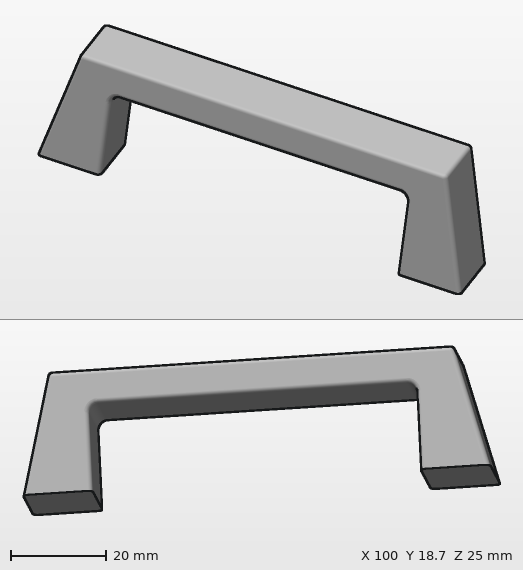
import cadquery as cq
import math

LENGTH = 100.0
HEIGHT = 25.0
DEPTH = 12.3
SLOPE_ANGLE = 15.0
OPENING_WIDTH = 70.2
OPENING_HEIGHT = 18.0
OPENING_RADIUS = 2.0
EDGE_RADIUS = 1.0

SLOPE_RUN = HEIGHT * math.tan(math.radians(SLOPE_ANGLE))


def leaning_body():
    """Solid bar whose front and back faces lean toward +Y."""
    return (
        cq.Workplane("YZ")
        .polyline([(0, 0), (DEPTH, 0), (DEPTH + SLOPE_RUN, HEIGHT), (SLOPE_RUN, HEIGHT)])
        .close()
        .extrude(LENGTH / 2, both=True)
    )


def end_profile():
    """Trapezoid prism along Y that gives the sloping end faces."""
    half_bottom = LENGTH / 2
    half_top = half_bottom - SLOPE_RUN
    return (
        cq.Workplane("XZ", origin=(0, DEPTH + SLOPE_RUN, 0))
        .polyline([(-half_bottom, 0), (half_bottom, 0), (half_top, HEIGHT), (-half_top, HEIGHT)])
        .close()
        .extrude(DEPTH + SLOPE_RUN)
    )


def opening():
    """Space between the legs, with rounded upper corners."""
    return (
        cq.Workplane("XY")
        .box(OPENING_WIDTH, DEPTH + SLOPE_RUN, OPENING_HEIGHT, centered=(True, False, False))
        .edges("|Y and >Z")
        .fillet(OPENING_RADIUS)
    )


handle = leaning_body().intersect(end_profile()).cut(opening())

lean_normal = cq.Vector(0, HEIGHT, -SLOPE_RUN)
front_face = handle.faces(cq.selectors.DirectionMinMaxSelector(lean_normal, False))
back_face = handle.faces(cq.selectors.DirectionMinMaxSelector(lean_normal, True))
top_face = handle.faces(">Z")
rounded_edges = front_face.add(back_face).add(top_face).edges().edges("not <Z")

result = rounded_edges.fillet(EDGE_RADIUS)